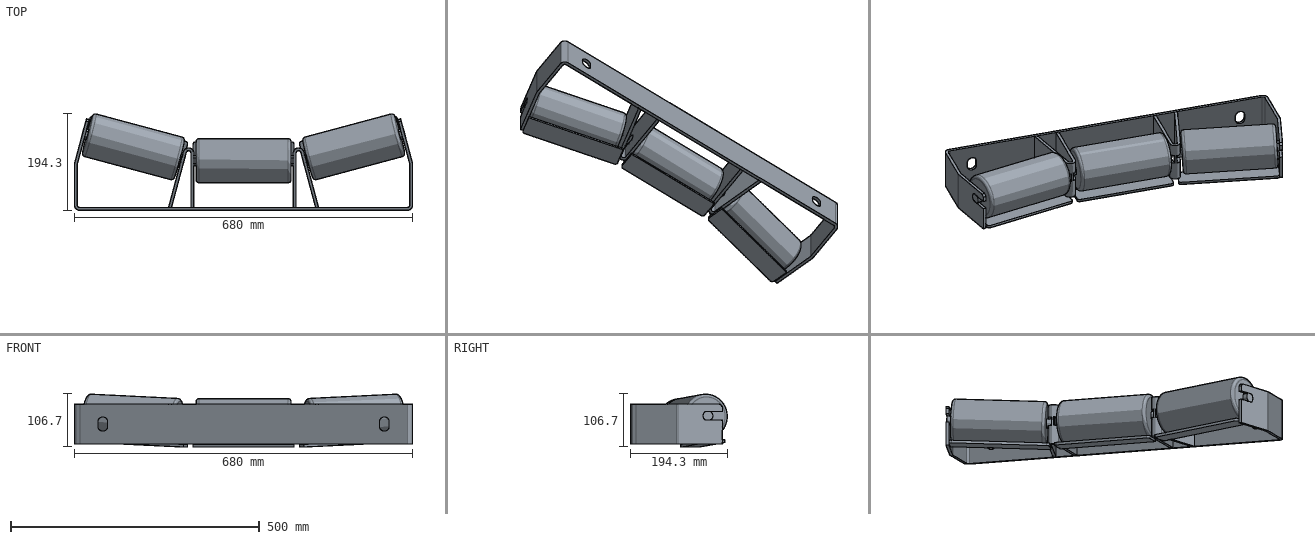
import cadquery as cq
import math

SHEET = 6.0
STRIP_HEIGHT = 80.0
INNER_BEND = 5.0
OUTER_BEND = INNER_BEND + SHEET

FRAME_LENGTH = 680.0
TROUGH_ANGLE = 15.0
KINK_Y = 94.0
ARM_TIP_Y = 184.0
ARM_TIP_CHAMFER = 5.0
BOLT_X = 283.0
BOLT_SLOT_WIDTH = 20.0
BOLT_SLOT_HEIGHT = 28.5

ROLLER_RADIUS = 89.0 / 2
ROLLER_LENGTH = 191.0
ROLLER_FILLET = 6.0
AXLE_RADIUS = 10.0
AXLE_FLATS = 17.0
ROLLER_GAP = 199.0
AXLE_LENGTH = ROLLER_GAP + 2 * SHEET
SLOT_OVERRUN = 1.5
SLOT_DEPTH = 45.0
SLOT_LENGTH = AXLE_LENGTH + 2 * SLOT_OVERRUN

TROUGH = math.radians(TROUGH_ANGLE)
MIDDLE_ROLLER_CENTER = (0, 100.0, 47.0)
SIDE_ROLLER_Y = 128.0
SIDE_ROLLER_Z = 52.0
SIDE_ROLLER_TILT = 2.7
ARM_REACH = FRAME_LENGTH / 2 * math.cos(TROUGH) + KINK_Y * math.sin(TROUGH) - SHEET
SIDE_ROLLER_REACH = ARM_REACH - ROLLER_GAP / 2
BRACKET_REACH = ARM_REACH - ROLLER_GAP
SIDE_ROLLER_X = (SIDE_ROLLER_REACH - SIDE_ROLLER_Y * math.sin(TROUGH)) / math.cos(TROUGH)
SIDE_ROLLER_CENTER = (SIDE_ROLLER_X, SIDE_ROLLER_Y, SIDE_ROLLER_Z)

BRACKET_FACE_X = ROLLER_GAP / 2
FOLD_X = BRACKET_FACE_X + OUTER_BEND
FOLD_Y = (BRACKET_REACH - OUTER_BEND - FOLD_X * math.cos(TROUGH)) / math.sin(TROUGH)

PLATE_LENGTH = 203.0
SIDE_PLATE_SHIFT = 5.0
PLATE_WIDTH = 38.0
PLATE_THICKNESS = 5.5
PLATE_CORNER = 5.5
PLATE_DROP = 47.5


def mirrored(body):
    """The same body on the -X side."""
    return body.mirror("YZ")


def at_side(body):
    """Move a body built around the origin along X to the +X roller place."""
    tilted = body.rotate((0, 0, 0), (0, 1, 0), -SIDE_ROLLER_TILT)
    return tilted.rotate((0, 0, 0), (0, 0, 1), TROUGH_ANGLE).translate(SIDE_ROLLER_CENTER)


def at_three_places(body):
    """Copies of a body for the middle, +X and -X rollers."""
    side = at_side(body)
    return [body.translate(MIDDLE_ROLLER_CENTER), side, mirrored(side)]


def flatted_bar(length):
    """Bar along X: round, with a flat above and a flat below."""
    bar = cq.Workplane("YZ", origin=(-length / 2, 0, 0)).circle(AXLE_RADIUS).extrude(length)
    return bar.intersect(cq.Workplane("XY").box(length, 2 * AXLE_RADIUS, AXLE_FLATS))


def axle_slots():
    """Cutters for the slots that let the axles drop in from the +Y side."""
    way_in = cq.Workplane("XY").box(SLOT_LENGTH, SLOT_DEPTH, AXLE_FLATS, centered=(True, False, True))
    return at_three_places(flatted_bar(SLOT_LENGTH).union(way_in))


def cut_axle_slots(body):
    """Cut the slots of all three axles where they cross the body."""
    for slot in axle_slots():
        body = body.cut(slot)
    return body


def make_roller():
    """Roller along X with rounded rims and an axle whose ends are flatted."""
    shell = cq.Workplane("YZ", origin=(-ROLLER_LENGTH / 2, 0, 0)).circle(ROLLER_RADIUS).extrude(ROLLER_LENGTH)
    return shell.faces("<X or >X").edges().fillet(ROLLER_FILLET).union(flatted_bar(AXLE_LENGTH))


def make_plate(shift):
    """Flat guard below the +Y half of a roller, shifted along the roller axis."""
    plate = cq.Workplane("XY").box(PLATE_LENGTH, PLATE_WIDTH, PLATE_THICKNESS, centered=(True, False, False))
    plate = plate.edges("|Z and >Y").fillet(PLATE_CORNER)
    return plate.translate((shift, 0, -PLATE_DROP - PLATE_THICKNESS))


def make_frame():
    """Base strip and arms folded from one strip, with bolt slots and axle slots."""
    side_x = FRAME_LENGTH / 2
    tip_x = side_x - (ARM_TIP_Y - KINK_Y) * math.tan(TROUGH)
    inner_kink_y = KINK_Y - SHEET * math.tan(TROUGH / 2)
    half_outline = [
        (side_x, 0),
        (side_x, KINK_Y),
        (tip_x, ARM_TIP_Y),
        (tip_x - SHEET * math.cos(TROUGH), ARM_TIP_Y - SHEET * math.sin(TROUGH)),
        (side_x - SHEET, inner_kink_y),
        (side_x - SHEET, SHEET),
    ]
    other_half = [(-x, y) for x, y in reversed(half_outline)]
    frame = cq.Workplane("XY").polyline(half_outline + other_half).close().extrude(STRIP_HEIGHT)

    for side in (1, -1):
        bends = [
            (side_x, 0, OUTER_BEND),
            (side_x - SHEET, SHEET, INNER_BEND),
            (side_x, KINK_Y, OUTER_BEND),
            (side_x - SHEET, inner_kink_y, INNER_BEND),
        ]
        for x, y, radius in bends:
            corner = cq.NearestToPointSelector((side * x, y, STRIP_HEIGHT / 2))
            frame = frame.edges("|Z").edges(corner).fillet(radius)

    frame = frame.faces(">Y").edges(">Z").chamfer(ARM_TIP_CHAMFER)

    bolt_slots = (
        cq.Workplane("XZ", origin=(0, 0, STRIP_HEIGHT / 2))
        .pushPoints([(-BOLT_X, 0), (BOLT_X, 0)])
        .slot2D(BOLT_SLOT_HEIGHT, BOLT_SLOT_WIDTH, 90)
        .extrude(-SHEET)
    )
    return cut_axle_slots(frame.cut(bolt_slots))


def make_bracket():
    """V bracket on the +X side: a straight and a leaning leg joined by a round fold."""

    def on_fold(radius, angle):
        return (FOLD_X + radius * math.cos(angle), FOLD_Y + radius * math.sin(angle))

    def leaning_foot(radius):
        x, y = on_fold(radius, TROUGH)
        return (x + (y - SHEET) * math.tan(TROUGH), SHEET)

    crown = (math.pi + TROUGH) / 2
    bracket = (
        cq.Workplane("XY")
        .moveTo(*leaning_foot(OUTER_BEND))
        .lineTo(*on_fold(OUTER_BEND, TROUGH))
        .threePointArc(on_fold(OUTER_BEND, crown), on_fold(OUTER_BEND, math.pi))
        .lineTo(BRACKET_FACE_X, SHEET)
        .lineTo(BRACKET_FACE_X + SHEET, SHEET)
        .lineTo(*on_fold(INNER_BEND, math.pi))
        .threePointArc(on_fold(INNER_BEND, crown), on_fold(INNER_BEND, TROUGH))
        .lineTo(*leaning_foot(INNER_BEND))
        .close()
        .extrude(STRIP_HEIGHT)
    )
    return cut_axle_slots(bracket)


frame = make_frame()
bracket = make_bracket()
brackets = [bracket, mirrored(bracket)]
rollers = at_three_places(make_roller())
side_plate = at_side(make_plate(-SIDE_PLATE_SHIFT))
plates = [make_plate(0).translate(MIDDLE_ROLLER_CENTER), side_plate, mirrored(side_plate)]

result = cq.Compound.makeCompound([body.val() for body in [frame, *brackets, *rollers, *plates]])